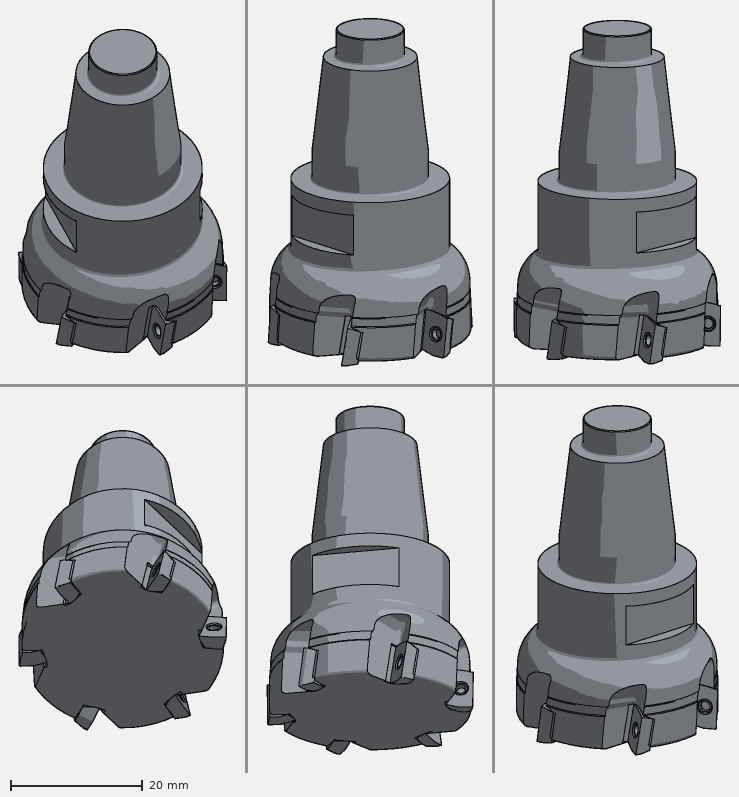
import cadquery as cq
import math

TOTAL_HEIGHT = 49.0
STUB_RADIUS = 10.4 / 2
STUB_BASE_Z = 44.5
STUB_FILLET = 0.5
STUB_CHAMFER = 0.15
TAPER_TOP_RADIUS = 7.15
TAPER_BASE_Z = 29.65
NECK_RADIUS = 8.85
NECK_FILLET = 0.4
COLLAR_RADIUS = 24.2 / 2
COLLAR_TOP_Z = 25.1
COLLAR_FILLET = 1.0
BELL_RADIUS = 15.2
BELL_BASE_Z = 8.55
BELL_BEND_RADIUS = 6.05
BAND_RADIUS = 15.25
BAND_TOP_Z = 7.65
BAND_BASE_Z = 6.25
BAND_STEP_HEIGHT = 0.15
HEAD_RADIUS = 30.7 / 2
HEAD_BASE_Z = 0.6
HEAD_FILLET = 0.7

FLAT_DISTANCE = 10.05
FLAT_BASE_Z = 16.6
FLAT_TOP_Z = 22.95

INSERT_COUNT = 6
INSERT_ANGLE = 360 / INSERT_COUNT
TIP_RADIUS = 16.0
AXIAL_RAKE = 9.0
RADIAL_RAKE = 8.0
INSERT_WIDTH = 4.2
OUTER_EDGE_HEIGHT = 6.15
INNER_EDGE_HEIGHT = 6.85
TOP_EDGE_BULGE = 0.15
WIPER_LENGTH = 1.95
WIPER_RISE = 0.6
TIP_FILLET = 0.2
LAND_THICKNESS = 0.65
LAND_RELIEF = 9.0
FLANK_THICKNESS = 1.7
FLANK_RELIEF = 16.5

RECESS_FROM_TIP = 1.9
RECESS_HEIGHT = 3.4
RECESS_MOUTH_DIAMETER = 2.4
RECESS_SEAT_DIAMETER = 2.05
RECESS_SEAT_DEPTH = 0.2
SOCKET_DIAMETER = 1.55
SOCKET_DEPTH = 1.0

FLOOR_TURN = 30.0
FLOOR_ANGLE = FLOOR_TURN - RADIAL_RAKE
WALL_SETBACK = 0.4
FLOOR_FROM_TIP = 4.1
SEAT_CLEARANCE = 1.0
FLOOR_STEP = 0.25
FLOOR_STEP_BASE = 6.5
FLOOR_STEP_TOP = 7.35
RUNOUT_RADIUS = 3.65
RUNOUT_BASE = 7.7
GULLET_FILLET = 0.7
CUT_REACH = 14.7
CUT_BELOW = 2.45
EDGE_MARGIN = 0.5
PLANE_TOLERANCE = 0.005


def station(index):
    """Location of a cutting tip: rake tilts first, then out to the tip radius, then round to the station."""
    origin = (0, 0, 0)
    x_axis = (1, 0, 0)
    z_axis = (0, 0, 1)
    turn = cq.Location(origin, z_axis, index * INSERT_ANGLE)
    reach = cq.Location((TIP_RADIUS, 0, 0))
    radial_tilt = cq.Location(origin, z_axis, RADIAL_RAKE)
    axial_tilt = cq.Location(origin, x_axis, -AXIAL_RAKE)
    return turn * reach * radial_tilt * axial_tilt


def make_blank():
    """Revolve the shank, collar and bell-shaped head."""
    fillet_center_radius = COLLAR_RADIUS + COLLAR_FILLET
    bell_center_radius = BELL_RADIUS - BELL_BEND_RADIUS
    center_distance = BELL_BEND_RADIUS + COLLAR_FILLET
    radial_gap = fillet_center_radius - bell_center_radius
    axial_gap = math.sqrt(center_distance**2 - radial_gap**2)
    collar_base_z = BELL_BASE_Z + axial_gap
    blend = BELL_BEND_RADIUS / center_distance
    tangent_radius = bell_center_radius + blend * radial_gap
    tangent_z = BELL_BASE_Z + blend * axial_gap
    profile = (
        cq.Workplane("XZ")
        .moveTo(0, TOTAL_HEIGHT)
        .lineTo(STUB_RADIUS - STUB_CHAMFER, TOTAL_HEIGHT)
        .lineTo(STUB_RADIUS, TOTAL_HEIGHT - STUB_CHAMFER)
        .lineTo(STUB_RADIUS, STUB_BASE_Z + STUB_FILLET)
        .radiusArc((STUB_RADIUS + STUB_FILLET, STUB_BASE_Z), -STUB_FILLET)
        .lineTo(TAPER_TOP_RADIUS, STUB_BASE_Z)
        .lineTo(NECK_RADIUS, TAPER_BASE_Z)
        .lineTo(NECK_RADIUS, COLLAR_TOP_Z + NECK_FILLET)
        .radiusArc((NECK_RADIUS + NECK_FILLET, COLLAR_TOP_Z), -NECK_FILLET)
        .lineTo(COLLAR_RADIUS, COLLAR_TOP_Z)
        .lineTo(COLLAR_RADIUS, collar_base_z)
        .radiusArc((tangent_radius, tangent_z), -COLLAR_FILLET)
        .radiusArc((BELL_RADIUS, BELL_BASE_Z), BELL_BEND_RADIUS)
        .lineTo(BELL_RADIUS, BAND_TOP_Z)
        .lineTo(BAND_RADIUS, BAND_TOP_Z - BAND_STEP_HEIGHT)
        .lineTo(BAND_RADIUS, BAND_BASE_Z)
        .lineTo(HEAD_RADIUS, BAND_BASE_Z - BAND_STEP_HEIGHT)
        .lineTo(HEAD_RADIUS, HEAD_BASE_Z + HEAD_FILLET)
        .radiusArc((HEAD_RADIUS - HEAD_FILLET, HEAD_BASE_Z), HEAD_FILLET)
        .lineTo(0, HEAD_BASE_Z)
        .close()
    )
    return profile.revolve(360, (0, 0, 0), (0, 1, 0))


def cut_flats(body):
    """Cut a pair of wrench flats across the collar, one on each side in Y."""
    flat_depth = COLLAR_RADIUS - FLAT_DISTANCE
    for side in (-1, 1):
        cutter = cq.Workplane("XY").box(
            2 * COLLAR_RADIUS, flat_depth, FLAT_TOP_Z - FLAT_BASE_Z
        ).translate((0, side * (FLAT_DISTANCE + flat_depth / 2), (FLAT_BASE_Z + FLAT_TOP_Z) / 2))
        body = body.cut(cutter)
    return body


def make_gullet():
    """Cutter for one chip gullet: a flat floor that curves out at its top, ending at a wall behind Y = 0."""
    angle = math.radians(FLOOR_ANGLE)
    floor_plane = cq.Plane(
        origin=(-FLOOR_FROM_TIP, 0, 0),
        xDir=(math.cos(angle), math.sin(angle), 0),
        normal=(math.sin(angle), -math.cos(angle), 0),
    )
    runout_end = (FLOOR_STEP + RUNOUT_RADIUS, RUNOUT_BASE + RUNOUT_RADIUS)
    sweep = (
        cq.Workplane(floor_plane)
        .moveTo(0, -CUT_BELOW)
        .lineTo(0, FLOOR_STEP_BASE)
        .lineTo(FLOOR_STEP, FLOOR_STEP_TOP)
        .lineTo(FLOOR_STEP, RUNOUT_BASE)
        .radiusArc(runout_end, RUNOUT_RADIUS)
        .lineTo(CUT_REACH, runout_end[1])
        .lineTo(CUT_REACH, -CUT_BELOW)
        .close()
        .extrude(CUT_REACH, both=True)
    )
    room_in_front = cq.Workplane("XY").box(
        4 * CUT_REACH, 2 * CUT_REACH, 4 * CUT_REACH
    ).translate((0, WALL_SETBACK - CUT_REACH, 0))
    gullet = sweep.intersect(room_in_front)
    root_edges = cq.selectors.BoxSelector(
        (-FLOOR_FROM_TIP - EDGE_MARGIN, WALL_SETBACK - PLANE_TOLERANCE, EDGE_MARGIN - CUT_BELOW),
        (-EDGE_MARGIN, WALL_SETBACK + PLANE_TOLERANCE, runout_end[1]),
    )
    return gullet.edges(root_edges).fillet(GULLET_FILLET)


def insert_outline():
    """Outline of the rake face on the plane Y = 0, with the cutting tip at the origin."""
    rake_plane = cq.Plane(origin=(0, 0, 0), xDir=(-1, 0, 0), normal=(0, 1, 0))
    top_middle = (INSERT_WIDTH / 2, (OUTER_EDGE_HEIGHT + INNER_EDGE_HEIGHT) / 2 + TOP_EDGE_BULGE)
    return (
        cq.Workplane(rake_plane)
        .moveTo(TIP_FILLET, 0)
        .lineTo(WIPER_LENGTH, 0)
        .lineTo(INSERT_WIDTH, WIPER_RISE)
        .lineTo(INSERT_WIDTH, INNER_EDGE_HEIGHT)
        .threePointArc(top_middle, (0, OUTER_EDGE_HEIGHT))
        .lineTo(0, TIP_FILLET)
        .radiusArc((TIP_FILLET, 0), -TIP_FILLET)
        .close()
    )


def make_insert_blank():
    """Insert plate without its recess, tapering behind the rake face in two steps of relief."""
    land = insert_outline().extrude(LAND_THICKNESS, taper=LAND_RELIEF)
    back = land.faces(">Y").wires().toPending().workplane()
    return back.extrude(FLANK_THICKNESS, taper=FLANK_RELIEF)


def make_recess():
    """Cutter for the screw recess: a conical mouth above a blind round socket."""
    mouth_radius = RECESS_MOUTH_DIAMETER / 2
    seat_radius = RECESS_SEAT_DIAMETER / 2
    socket_radius = SOCKET_DIAMETER / 2
    bottom = RECESS_SEAT_DEPTH + SOCKET_DEPTH
    return (
        cq.Workplane("XY")
        .polyline([
            (0, 0),
            (mouth_radius, 0),
            (seat_radius, RECESS_SEAT_DEPTH),
            (socket_radius, RECESS_SEAT_DEPTH),
            (socket_radius, bottom),
            (0, bottom),
        ])
        .close()
        .revolve(360, (0, 0, 0), (0, 1, 0))
        .translate((-RECESS_FROM_TIP, 0, RECESS_HEIGHT))
    )


insert_blank = make_insert_blank()
insert = insert_blank.cut(make_recess()).solids().val()
gullet = make_gullet().solids().val()
seat = insert_blank.union(insert_outline().extrude(-SEAT_CLEARANCE)).solids().val()

body = cut_flats(make_blank())
inserts = []
for index in range(INSERT_COUNT):
    place = station(index)
    body = body.cut(cq.Workplane(gullet.moved(place)))
    body = body.cut(cq.Workplane(seat.moved(place)))
    inserts.append(insert.moved(place))

result = cq.Compound.makeCompound([body.solids().val(), *inserts])